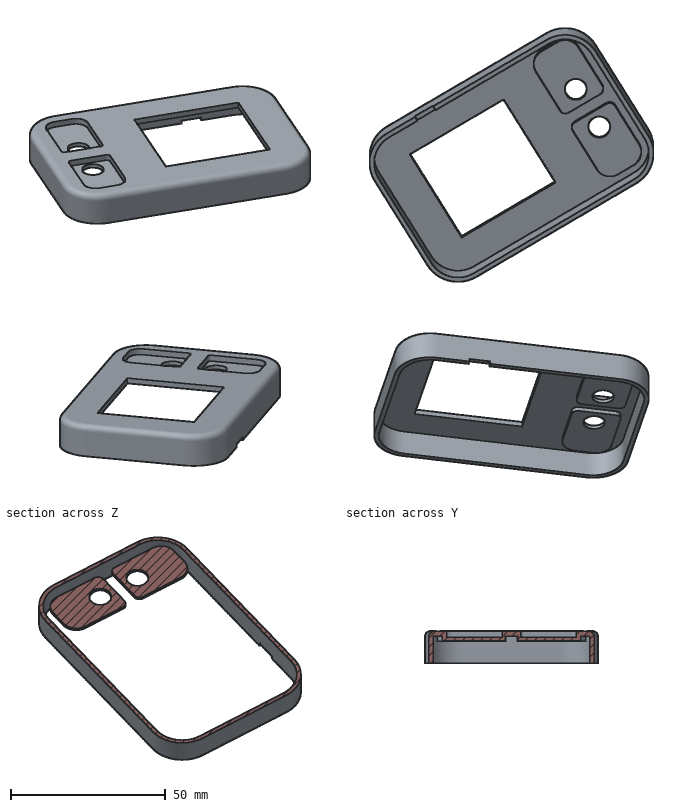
import cadquery as cq

width = 56.0
length = 83.5
height = 10.5
corner_radius = 11.5
top_fillet = 2.0
wall = 1.5
top_thickness = 1.8

window_width = 32.4
window_length = 35.4
window_center_y = 10.9

tray_inner_x = 2.9
tray_outer_x = 23.0
tray_length = 14.0
tray_center_y = -28.7
tray_depth = 2.0
tray_floor = 1.3
tray_outer_radius = 4.0
tray_inner_radius = 1.0
tray_wall = 1.0
button_hole_diameter = 7.0
button_hole_x = 7.35

notch_width = 6.8
notch_height = 1.0
notch_center_y = 16.1

tray_width = tray_outer_x - tray_inner_x
tray_center_x = (tray_outer_x + tray_inner_x) / 2
tray_floor_top = height - tray_depth
tray_underside = tray_floor_top - tray_floor


def make_shell():
    """Rounded cover with a filleted top edge and a hollow underside."""
    outer = (
        cq.Workplane("XY")
        .rect(width, length)
        .extrude(height)
        .edges("|Z")
        .fillet(corner_radius)
        .faces(">Z")
        .edges()
        .fillet(top_fillet)
    )
    cavity = (
        cq.Workplane("XY")
        .rect(width - 2 * wall, length - 2 * wall)
        .extrude(height - top_thickness)
        .edges("|Z")
        .fillet(corner_radius - wall)
    )
    return outer.cut(cavity)


def tray_block(side, bottom, top, margin=0.0):
    """Tray-shaped block on the given X side, enlarged all round by margin."""
    block = (
        cq.Workplane("XY", origin=(side * tray_center_x, tray_center_y, bottom))
        .rect(tray_width + 2 * margin, tray_length + 2 * margin)
        .extrude(top - bottom)
    )
    outward, inward = (">X", "<X") if side > 0 else ("<X", ">X")
    block = block.faces(outward).edges("|Z").fillet(tray_outer_radius + margin)
    return block.faces(inward).edges("|Z").fillet(tray_inner_radius + margin)


def button_hole(side):
    """Cutter for the round hole through a tray floor."""
    return (
        cq.Workplane("XY")
        .center(side * button_hole_x, tray_center_y)
        .circle(button_hole_diameter / 2)
        .extrude(height)
    )


def window():
    """Cutter for the rectangular display opening."""
    return (
        cq.Workplane("XY")
        .center(0, window_center_y)
        .rect(window_width, window_length)
        .extrude(height)
    )


def edge_notch():
    """Cutter for the notch, passing through the -X wall only."""
    return cq.Workplane("XY").box(
        2 * wall, notch_width, notch_height, centered=(True, True, False)
    ).translate((-width / 2, notch_center_y, 0))


result = make_shell().cut(window()).cut(edge_notch())

for side in (-1, 1):
    result = result.union(tray_block(side, tray_underside, height - top_thickness / 2, tray_wall))
    result = result.cut(tray_block(side, tray_floor_top, height))
    result = result.cut(button_hole(side))